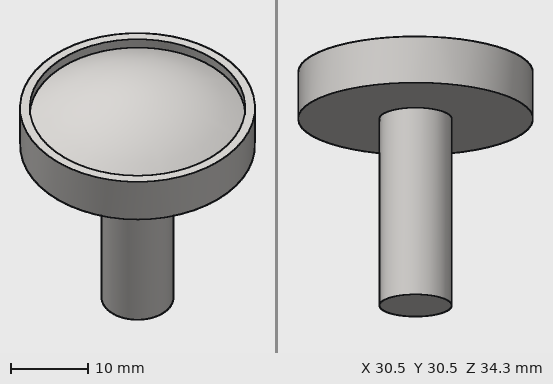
import cadquery as cq

total_height = 34.3
head_diameter = 30.5
head_height = 6.3
stem_diameter = 9.4

insert_diameter = 27.95
recess_depth = 1.4
dome_rise_above_rim = 2.55

rim_top = total_height - dome_rise_above_rim
head_bottom = rim_top - head_height
recess_floor = rim_top - recess_depth

insert_radius = insert_diameter / 2
dome_height = total_height - recess_floor
sphere_radius = (insert_radius**2 + dome_height**2) / (2 * dome_height)
sphere_center = total_height - sphere_radius


def make_knob():
    """Round head on a plain stem, with a flat-bottomed recess in the top."""
    stem = cq.Workplane("XY").circle(stem_diameter / 2).extrude(head_bottom)
    head = (
        cq.Workplane("XY")
        .workplane(offset=head_bottom)
        .circle(head_diameter / 2)
        .extrude(head_height)
    )
    recess = (
        cq.Workplane("XY")
        .workplane(offset=recess_floor)
        .circle(insert_radius)
        .extrude(recess_depth)
    )
    return stem.union(head).cut(recess)


def make_insert():
    """Flat-backed dome resting on the recess floor."""
    half_chord = insert_radius / 2
    arc_middle_height = sphere_center + (sphere_radius**2 - half_chord**2) ** 0.5
    return (
        cq.Workplane("XZ")
        .moveTo(0, recess_floor)
        .lineTo(insert_radius, recess_floor)
        .threePointArc((half_chord, arc_middle_height), (0, total_height))
        .close()
        .revolve(360, (0, 0, 0), (0, 1, 0))
    )


knob = make_knob()
insert = make_insert()

result = cq.Compound.makeCompound([knob.val(), insert.val()])